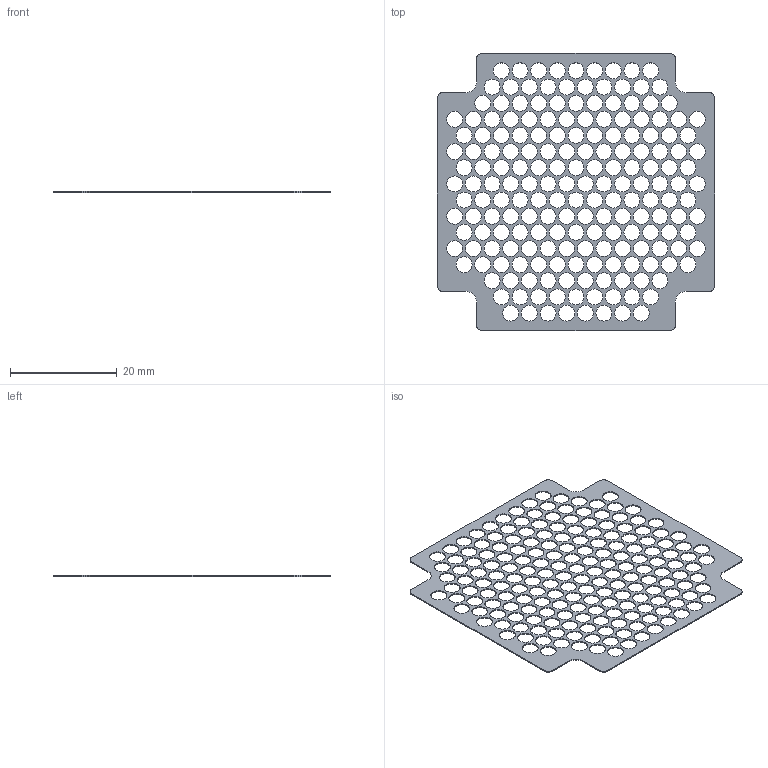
import cadquery as cq
import math

plate_size = 52.0
plate_thickness = 0.2
arm_width = 37.3
outer_corner_radius = 1.0
notch_corner_radius = 2.0
corner_margin = 0.1

hole_diameter = 3.0
hole_pitch = 3.5
row_pitch = hole_pitch * math.sqrt(3) / 2
holes_per_row = [8, 9, 10] + [13, 14] * 5 + [11, 10, 9]


def make_arm(size_x, size_y):
    """Flat rectangular arm, centred on the origin, with rounded outer corners."""
    return cq.Workplane("XY").box(size_x, size_y, plate_thickness).edges("|Z").fillet(outer_corner_radius)


def make_plate():
    """Two crossed arms, leaving a notch with a rounded inner corner at each corner of the plate."""
    cross = make_arm(plate_size, arm_width).union(make_arm(arm_width, plate_size))

    reach = arm_width / 2 + corner_margin
    half_height = plate_thickness / 4
    inner_corners = cq.selectors.BoxSelector((-reach, -reach, -half_height), (reach, reach, half_height))
    return cross.edges(inner_corners).fillet(notch_corner_radius)


def hole_centers():
    """Centres of all holes, row by row."""
    centers = []
    row_middle = (len(holes_per_row) - 1) / 2
    for row, count in enumerate(holes_per_row):
        y = (row - row_middle) * row_pitch
        for column in range(count):
            x = (column - (count - 1) / 2) * hole_pitch
            centers.append((x, y))
    return centers


def make_holes():
    """Cylinders that pass through the full plate thickness."""
    return (
        cq.Workplane("XY")
        .workplane(offset=-plate_thickness)
        .pushPoints(hole_centers())
        .circle(hole_diameter / 2)
        .extrude(2 * plate_thickness)
    )


result = make_plate().cut(make_holes())